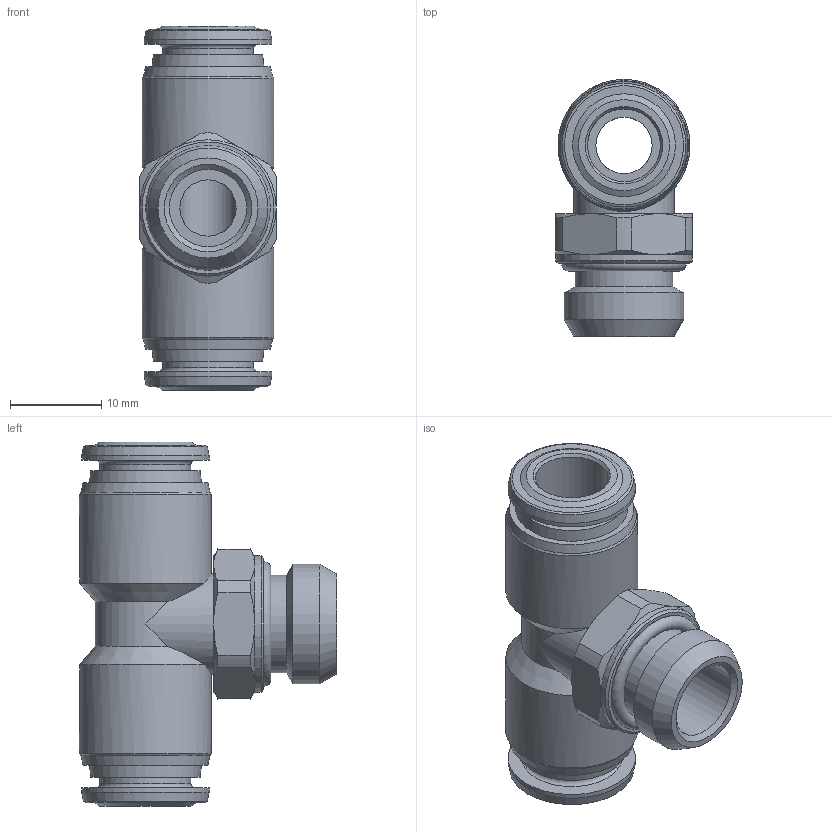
import cadquery as cq

RUN_HEIGHT = 40.0
BODY_DIAMETER = 14.5
BODY_END_Z = 14.27
CONE_OUTER_Z = 4.5
CONE_INNER_Z = 2.45
WAIST_DIAMETER = 11.0

NOSE_BASE_DIAMETER = 14.2
NOSE_BASE_Z = 14.5
NOSE_SHOULDER_DIAMETER = 13.7
NOSE_SHOULDER_Z = 15.5
NOSE_STEP_DIAMETER = 12.3
NOSE_TIP_DIAMETER = 12.0
NOSE_TIP_Z = 16.82

SLEEVE_DIAMETER = 10.0
COLLAR_DIAMETER = 14.0
COLLAR_BOTTOM_Z = 18.0
COLLAR_FILLET = 0.5
COLLAR_RIM_Z = 18.5
COLLAR_SHOULDER_DIAMETER = 13.6
COLLAR_SHOULDER_Z = 19.5
COLLAR_TOP_DIAMETER = 13.1
COLLAR_TOP_Z = 19.62
LIP_BASE_DIAMETER = 11.3
LIP_DIAMETER = 10.0

THROUGH_DIAMETER = 6.2
TUBE_DIAMETER = 8.0
TUBE_MOUTH_DIAMETER = 8.5
TUBE_MOUTH_DEPTH = 0.35
TUBE_FLOOR_Z = CONE_OUTER_Z

BRANCH_DIAMETER = 11.0
BRANCH_LENGTH = 21.0
HEX_SIDES = 6
HEX_START = 7.5
HEX_END = 12.0
HEX_ACROSS_FLATS = 15.0
HEX_CORNER_DIAMETER = 16.5
HEX_CHAMFER_LENGTH = 0.45
FLANGE_DIAMETER = 15.0
FLANGE_END = 12.95
FLANGE_CHAMFER = 0.25
SEAL_DIAMETER = 13.7
SEAL_END = 13.8
SEAL_SECTION_RADIUS = 0.8
RELIEF_DIAMETER = 10.7
THREAD_DIAMETER = 13.16
THREAD_RUNOUT_START = 15.5
THREAD_START = 16.2
THREAD_END = 19.1
TIP_DIAMETER = 11.0
BRANCH_BORE_DIAMETER = 8.5
BRANCH_BORE_FLOOR = HEX_END
BRANCH_MOUTH_DIAMETER = 9.6
BRANCH_MOUTH_DEPTH = 0.5


def branch_cylinder(diameter, start, end):
    """Cylinder on the branch axis between two distances from the run axis."""
    plane = cq.Workplane("XZ", origin=(0, -start, 0))
    return plane.circle(diameter / 2).extrude(end - start)


def revolve_profile(profile):
    """Close a profile and revolve it fully about the vertical axis of its workplane."""
    return profile.close().revolve(360, (0, 0, 0), (0, 1, 0))


def run_half():
    """Upper half of the run, without bores."""
    sleeve_radius = SLEEVE_DIAMETER / 2
    profile = (
        cq.Workplane("XZ")
        .lineTo(WAIST_DIAMETER / 2, 0)
        .lineTo(WAIST_DIAMETER / 2, CONE_INNER_Z)
        .lineTo(BODY_DIAMETER / 2, CONE_OUTER_Z)
        .lineTo(BODY_DIAMETER / 2, BODY_END_Z)
        .lineTo(NOSE_BASE_DIAMETER / 2, NOSE_BASE_Z)
        .lineTo(NOSE_SHOULDER_DIAMETER / 2, NOSE_SHOULDER_Z)
        .lineTo(NOSE_STEP_DIAMETER / 2, NOSE_SHOULDER_Z)
        .lineTo(NOSE_TIP_DIAMETER / 2, NOSE_TIP_Z)
        .lineTo(sleeve_radius, NOSE_TIP_Z)
        .lineTo(sleeve_radius, COLLAR_BOTTOM_Z - COLLAR_FILLET)
        .tangentArcPoint((COLLAR_FILLET, COLLAR_FILLET))
        .lineTo(COLLAR_DIAMETER / 2, COLLAR_BOTTOM_Z)
        .lineTo(COLLAR_DIAMETER / 2, COLLAR_RIM_Z)
        .lineTo(COLLAR_SHOULDER_DIAMETER / 2, COLLAR_SHOULDER_Z)
        .lineTo(COLLAR_TOP_DIAMETER / 2, COLLAR_TOP_Z)
        .lineTo(LIP_BASE_DIAMETER / 2, COLLAR_TOP_Z)
        .lineTo(LIP_DIAMETER / 2, RUN_HEIGHT / 2)
        .lineTo(0, RUN_HEIGHT / 2)
    )
    return revolve_profile(profile)


def hexagon():
    """Wrench hexagon with rounded corners and chamfered ends."""
    prism = (
        cq.Workplane("XZ", origin=(0, -HEX_START, 0))
        .polygon(HEX_SIDES, HEX_ACROSS_FLATS, circumscribed=True)
        .extrude(HEX_END - HEX_START)
    )
    corner_radius = HEX_CORNER_DIAMETER / 2
    end_radius = HEX_ACROSS_FLATS / 2
    envelope = revolve_profile(
        cq.Workplane("XY")
        .moveTo(0, -HEX_START)
        .lineTo(end_radius, -HEX_START)
        .lineTo(corner_radius, -HEX_START - HEX_CHAMFER_LENGTH)
        .lineTo(corner_radius, -HEX_END + HEX_CHAMFER_LENGTH)
        .lineTo(end_radius, -HEX_END)
        .lineTo(0, -HEX_END)
    )
    return prism.intersect(envelope)


def threaded_end():
    """Flange, thread relief and plain thread cylinder."""
    flange_radius = FLANGE_DIAMETER / 2
    return revolve_profile(
        cq.Workplane("XY")
        .moveTo(0, -HEX_END)
        .lineTo(flange_radius, -HEX_END)
        .lineTo(flange_radius, -FLANGE_END + FLANGE_CHAMFER)
        .lineTo(flange_radius - FLANGE_CHAMFER, -FLANGE_END)
        .lineTo(RELIEF_DIAMETER / 2, -FLANGE_END)
        .lineTo(RELIEF_DIAMETER / 2, -THREAD_RUNOUT_START)
        .lineTo(THREAD_DIAMETER / 2, -THREAD_START)
        .lineTo(THREAD_DIAMETER / 2, -THREAD_END)
        .lineTo(TIP_DIAMETER / 2, -BRANCH_LENGTH)
        .lineTo(0, -BRANCH_LENGTH)
    )


def sealing_ring():
    """Round-section ring seated against the flange."""
    center_radius = SEAL_DIAMETER / 2 - SEAL_SECTION_RADIUS
    center_y = -SEAL_END + SEAL_SECTION_RADIUS
    section = cq.Workplane("XY").moveTo(center_radius, center_y).circle(SEAL_SECTION_RADIUS)
    return section.revolve(360, (0, 0, 0), (0, 1, 0))


def tube_socket():
    """Cutter for the upper tube socket with its chamfered mouth."""
    top_z = RUN_HEIGHT / 2
    return revolve_profile(
        cq.Workplane("XZ")
        .moveTo(0, TUBE_FLOOR_Z)
        .lineTo(TUBE_DIAMETER / 2, TUBE_FLOOR_Z)
        .lineTo(TUBE_DIAMETER / 2, top_z - TUBE_MOUTH_DEPTH)
        .lineTo(TUBE_MOUTH_DIAMETER / 2, top_z)
        .lineTo(0, top_z)
    )


def branch_socket():
    """Cutter for the wide bore of the branch with its chamfered mouth."""
    bore_radius = BRANCH_BORE_DIAMETER / 2
    return revolve_profile(
        cq.Workplane("XY")
        .moveTo(0, -BRANCH_BORE_FLOOR)
        .lineTo(bore_radius, -BRANCH_BORE_FLOOR)
        .lineTo(bore_radius, -BRANCH_LENGTH + BRANCH_MOUTH_DEPTH)
        .lineTo(BRANCH_MOUTH_DIAMETER / 2, -BRANCH_LENGTH)
        .lineTo(0, -BRANCH_LENGTH)
    )


def with_mirror(upper):
    """Join an upper half with its mirror image below the branch axis."""
    return upper.union(upper.mirror("XY"))


run = with_mirror(run_half())
branch_neck = branch_cylinder(BRANCH_DIAMETER, 0, HEX_START)
branch = branch_neck.union(hexagon()).union(threaded_end()).union(sealing_ring())
outside = run.union(branch)

run_bore = cq.Workplane("XY").circle(THROUGH_DIAMETER / 2).extrude(RUN_HEIGHT / 2, both=True)
branch_bore = branch_cylinder(THROUGH_DIAMETER, 0, BRANCH_LENGTH)
sockets = with_mirror(tube_socket())

result = outside.cut(run_bore).cut(sockets).cut(branch_bore).cut(branch_socket())